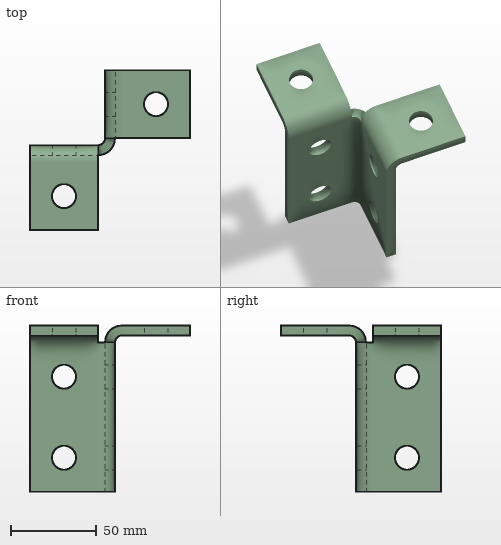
import cadquery as cq

height = 97.6
thickness = 6.0
bend_radius = 10.0
inner_radius = bend_radius - thickness
flat = 40.0
hole_diameter = 14.0
lower_hole_z = 20.0
upper_hole_z = 67.6

leg_outer = flat + bend_radius
leg_inner = leg_outer - thickness
far_leg_start = leg_inner + bend_radius
overall = far_leg_start + flat
bend_z = height - bend_radius
hole_offset = flat / 2


def bent_leg():
    """Leg facing Y with a tab bent toward -Y at its top, spanning X = 0 to flat."""
    blank = (
        cq.Workplane("YZ")
        .rect(leg_outer, height, centered=False)
        .extrude(flat)
        .edges("|X and >Y and >Z")
        .fillet(bend_radius)
    )
    space_below_tab = (
        cq.Workplane("YZ")
        .rect(leg_inner, height - thickness, centered=False)
        .extrude(flat)
        .edges("|X and >Y and >Z")
        .fillet(inner_radius)
    )
    leg_holes = (
        cq.Workplane("XZ")
        .pushPoints([(hole_offset, lower_hole_z), (hole_offset, upper_hole_z)])
        .circle(hole_diameter / 2)
        .extrude(-leg_outer)
    )
    tab_hole = (
        cq.Workplane("XY", origin=(hole_offset, hole_offset, 0))
        .circle(hole_diameter / 2)
        .extrude(height)
    )
    return blank.cut(space_below_tab).cut(leg_holes).cut(tab_hole)


def corner_bend():
    """Quarter-round vertical bend joining the two legs below their tab bends."""
    ring = (
        cq.Workplane("XY", origin=(flat, far_leg_start, 0))
        .circle(bend_radius)
        .circle(inner_radius)
        .extrude(bend_z)
    )
    quadrant = (
        cq.Workplane("XY", origin=(flat, leg_inner, 0))
        .rect(bend_radius, bend_radius, centered=False)
        .extrude(bend_z)
    )
    return ring.intersect(quadrant)


near_leg = bent_leg()

far_leg = near_leg.rotate((0, 0, 0), (0, 0, 1), 90).translate((overall, far_leg_start, 0))

result = near_leg.union(corner_bend()).union(far_leg)